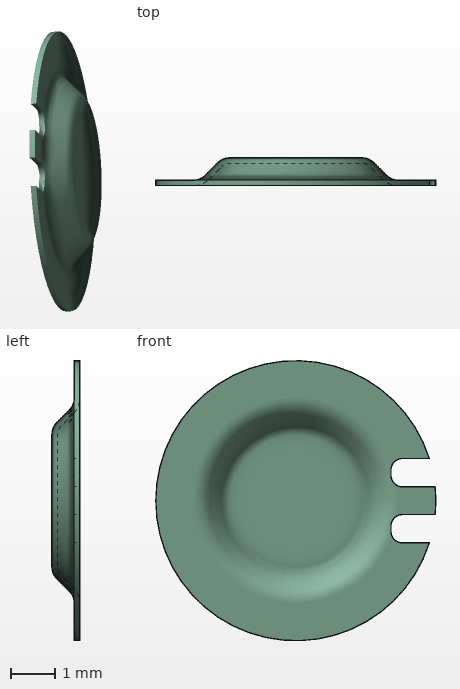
import cadquery as cq
import math

outer_diameter = 6.35
overall_depth = 0.635
sheet_thickness = 0.127
floor_radius = 1.5
wall_angle = math.radians(45)
rim_bend_radius = 0.508
floor_bend_radius = 0.254

tab_width = 0.635
slot_width = 0.635
slot_end_x = 2.16
slot_corner_radius = 0.254

outer_radius = outer_diameter / 2
floor_y = overall_depth - sheet_thickness


def bend_point(center, radius, angle):
    """Point on a bend arc, with the angle measured from the +Y direction."""
    center_x, center_y = center
    return (center_x + radius * math.sin(angle), center_y + radius * math.cos(angle))


def make_dished_disc():
    """Revolve the constant-thickness sheet section about the Y axis."""
    rim_outer = rim_bend_radius - sheet_thickness
    floor_outer = floor_bend_radius + sheet_thickness
    bends_depth = (rim_bend_radius + floor_bend_radius) * (1 - math.cos(wall_angle))
    wall_run = (floor_y - bends_depth) / math.tan(wall_angle)
    bends_run = (rim_bend_radius + floor_bend_radius) * math.sin(wall_angle)
    floor_center = (floor_radius, floor_y - floor_bend_radius)
    rim_center = (floor_radius + bends_run + wall_run, rim_bend_radius)

    def floor_bend(radius, angle):
        return bend_point(floor_center, radius, angle)

    def rim_bend(radius, angle):
        return bend_point(rim_center, radius, math.pi + angle)

    half_angle = wall_angle / 2
    section = (
        cq.Workplane("XY")
        .moveTo(0, floor_y)
        .lineTo(*floor_bend(floor_bend_radius, 0))
        .threePointArc(floor_bend(floor_bend_radius, half_angle), floor_bend(floor_bend_radius, wall_angle))
        .lineTo(*rim_bend(rim_bend_radius, wall_angle))
        .threePointArc(rim_bend(rim_bend_radius, half_angle), rim_bend(rim_bend_radius, 0))
        .lineTo(outer_radius, 0)
        .lineTo(outer_radius, sheet_thickness)
        .lineTo(*rim_bend(rim_outer, 0))
        .threePointArc(rim_bend(rim_outer, half_angle), rim_bend(rim_outer, wall_angle))
        .lineTo(*floor_bend(floor_outer, wall_angle))
        .threePointArc(floor_bend(floor_outer, half_angle), floor_bend(floor_outer, 0))
        .lineTo(0, overall_depth)
        .close()
    )
    return section.revolve(360, (0, 0, 0), (0, 1, 0))


def make_slot(side):
    """Cutter for the slot on one side (+1 or -1 in Z) of the tab."""
    length = outer_radius - slot_end_x
    center_z = side * (tab_width + slot_width) / 2
    return (
        cq.Workplane("XZ")
        .center(slot_end_x + length / 2, center_z)
        .rect(length, slot_width)
        .extrude(-overall_depth)
        .edges("|Y and <X")
        .fillet(slot_corner_radius)
    )


result = make_dished_disc()
for side in (1, -1):
    result = result.cut(make_slot(side))